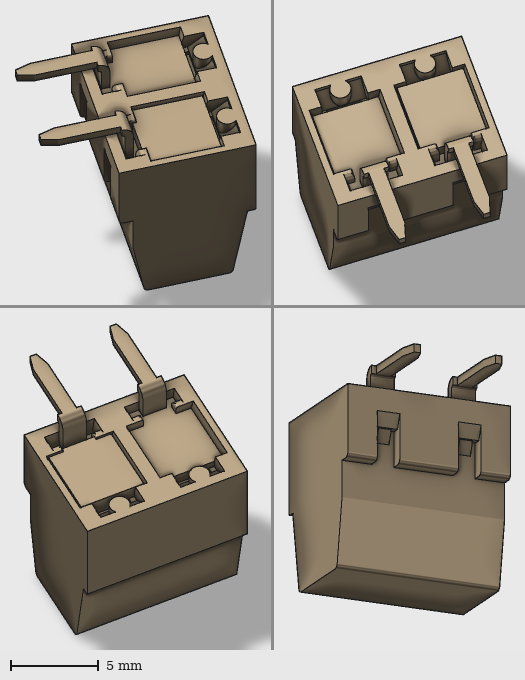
import cadquery as cq
import math


overall_height = 12.1
housing_width = 10.16
housing_depth = 8.1
housing_height = 10.58
station_count = 2
pitch = housing_width / station_count

front_step_z = 6.22
front_fold_z = 4.0
lower_front_y = -7.28
back_step_z = 5.02
back_step_depth = 0.51
flank_slope = math.tan(math.radians(10.0))
edge_radius = 0.3
back_step_radius = 0.15

draft_angle = 15.0
draft_run = math.tan(math.radians(draft_angle))
recess_depth = 0.53
recess_floor_z = housing_height - recess_depth
pocket_width = 4.26
pocket_back_y = -1.77
pocket_front_y = -6.09
pocket_floor_back_y = pocket_back_y - recess_depth * draft_run
pocket_floor_width = pocket_width - 2 * recess_depth * draft_run
slot_width = 3.16
slot_front_y = -7.42
slot_floor_width = slot_width - 2 * recess_depth * draft_run
slot_floor_front_y = slot_front_y + recess_depth * draft_run

neck_width = 2.07
tab_front_y = -6.69
tab_front_radius = 0.4
tab_side_radius = 0.15
tab_width = (slot_width - neck_width) / 2

raised_stations = (False, True)
floor_raise = 0.38
raised_front_y = -6.32
slot_extra_depth = 0.48

well_width = 2.77
well_back_y = -0.6
well_slope_end_y = -1.57
well_wall_height = 0.27
well_depth = 0.97
well_notch_width = neck_width
well_notch_depth = 0.24
post_diameter = 1.21
post_y = -1.0

window_width = 1.4
window_top_z = 9.2
ramp_step_z = 8.35
ramp_bottom_z = 7.53
ramp_tip_width = 0.8
ramp_slope = math.tan(math.radians(20.4))

pin_thickness = 0.5
pin_back_y = -6.74
pin_width = 1.5
pin_inner_radius = 0.19
pin_tip_y = -12.05
pin_bottom_z = recess_floor_z - slot_extra_depth
blade_width = 0.93
blade_taper_y = -11.1
blade_tip_width = 0.4


def block(x_mid, width, y_back, y_front, z_low, z_high):
    """Box centred on x_mid between two Y and two Z positions."""
    return (
        cq.Workplane("XY")
        .box(width, y_back - y_front, z_high - z_low, centered=(True, False, False))
        .translate((x_mid, y_front, z_low))
    )


def side_prism(points, x_mid, width):
    """Prism of width along X, centred on x_mid, from a closed (Y, Z) outline."""
    return (
        cq.Workplane("YZ", origin=(x_mid - width / 2, 0, 0))
        .polyline(points)
        .close()
        .extrude(width)
    )


def housing_shell():
    """Stepped, tapering outer shape of the housing."""
    bottom_front_y = lower_front_y + front_fold_z * flank_slope
    bottom_back_y = -back_step_depth - back_step_z * flank_slope
    outline = [
        (0, housing_height),
        (-housing_depth, housing_height),
        (-housing_depth, front_step_z),
        (lower_front_y, front_step_z),
        (lower_front_y, front_fold_z),
        (bottom_front_y, 0),
        (bottom_back_y, 0),
        (-back_step_depth, back_step_z),
        (0, back_step_z),
    ]
    shell = side_prism(outline, 0, housing_width)
    shell = shell.edges("|X and <Z").fillet(edge_radius)
    front_edge = cq.selectors.NearestToPointSelector((0, -housing_depth, front_step_z))
    back_edge = cq.selectors.NearestToPointSelector((0, 0, back_step_z))
    shell = shell.edges(front_edge).fillet(edge_radius)
    return shell.edges(back_edge).fillet(back_step_radius)


def drafted_recess(x_mid, width, upright_y, drafted_y):
    """Recess whose sides and drafted_y end lean inwards, and whose upright_y end is vertical."""
    length = abs(drafted_y - upright_y)
    both_halves = (
        cq.Workplane("XY", origin=(x_mid, upright_y, housing_height))
        .rect(width, 2 * length)
        .extrude(-recess_depth, taper=draft_angle)
    )
    y_back = max(upright_y, drafted_y)
    y_front = min(upright_y, drafted_y)
    kept_half = block(x_mid, width, y_back, y_front, recess_floor_z, housing_height)
    return both_halves.intersect(kept_half)


def tab(x_mid, side):
    """Tab beside the neck, rounded over along its front and its inner side."""
    tab_mid = x_mid + side * (neck_width + tab_width) / 2
    body = block(tab_mid, tab_width, pocket_front_y, tab_front_y, recess_floor_z, housing_height)
    front_rounded = body.edges(">Z and <Y").fillet(tab_front_radius)
    inner_edge = ">Z and <X" if side > 0 else ">Z and >X"
    side_rounded = body.edges(inner_edge).fillet(tab_side_radius)
    return front_rounded.intersect(side_rounded)


def raised_floor(x_mid):
    """Platform on the pocket floor that reaches into the neck."""
    top_z = recess_floor_z + floor_raise
    platform = block(
        x_mid, pocket_floor_width, pocket_floor_back_y, pocket_front_y, recess_floor_z, top_z
    )
    tongue = block(x_mid, neck_width, pocket_front_y, raised_front_y, recess_floor_z, top_z)
    return platform.union(tongue)


def slot_deepening(x_mid):
    """Upright-walled extension below the pin slot and the free part of the neck."""
    low_z = recess_floor_z - slot_extra_depth
    below_neck = block(x_mid, neck_width, raised_front_y, tab_front_y, low_z, recess_floor_z)
    below_slot = block(
        x_mid, slot_floor_width, tab_front_y, slot_floor_front_y, low_z, recess_floor_z
    )
    return below_neck.union(below_slot)


def pin_socket(x_mid):
    """Hole in the slot floor that holds the lower end of a pin."""
    pin_front_y = pin_back_y - pin_thickness
    return block(x_mid, pin_width, pin_back_y, pin_front_y, pin_bottom_z, recess_floor_z)


def well(x_mid):
    """Well with a sloping back wall and a notch in its floor."""
    floor_z = housing_height - well_depth
    outline = [
        (well_back_y, housing_height),
        (well_back_y, housing_height - well_wall_height),
        (well_slope_end_y, floor_z),
        (pocket_floor_back_y, floor_z),
        (pocket_floor_back_y, housing_height),
    ]
    notch = block(
        x_mid,
        well_notch_width,
        well_slope_end_y,
        pocket_floor_back_y,
        floor_z - well_notch_depth,
        floor_z,
    )
    return side_prism(outline, x_mid, well_width).union(notch)


def post(x_mid):
    """Round post standing in the well, level with the housing top."""
    return (
        cq.Workplane("XY", origin=(x_mid, post_y, housing_height))
        .circle(post_diameter / 2)
        .extrude(-well_depth)
    )


def window(x_mid):
    """Notch in the overhanging front wall, open at the front and below."""
    return block(x_mid, window_width, lower_front_y, -housing_depth, front_step_z, window_top_z)


def ramp(x_mid):
    """Filling of the window top, its front face sloping inwards on the way down."""
    bottom_y = -housing_depth + (window_top_z - ramp_step_z) * ramp_slope
    outline = [
        (lower_front_y, window_top_z),
        (-housing_depth, window_top_z),
        (bottom_y, ramp_step_z),
        (lower_front_y, ramp_step_z),
    ]
    return side_prism(outline, x_mid, window_width)


def ramp_tip(x_mid):
    """Narrow wedge below the ramp that runs out on the back of the window."""
    top_y = lower_front_y - (ramp_step_z - ramp_bottom_z) * ramp_slope
    outline = [
        (lower_front_y, ramp_step_z),
        (top_y, ramp_step_z),
        (lower_front_y, ramp_bottom_z),
    ]
    return side_prism(outline, x_mid, ramp_tip_width)


def make_housing(station_xs):
    """Housing with its top recesses, pin sockets and front windows at every station."""
    housing = housing_shell()
    for x_mid, is_raised in zip(station_xs, raised_stations):
        housing = housing.cut(drafted_recess(x_mid, pocket_width, pocket_front_y, pocket_back_y))
        housing = housing.cut(drafted_recess(x_mid, slot_width, pocket_front_y, slot_front_y))
        housing = housing.union(tab(x_mid, -1)).union(tab(x_mid, 1))
        housing = housing.cut(well(x_mid)).union(post(x_mid))
        if is_raised:
            housing = housing.union(raised_floor(x_mid)).cut(slot_deepening(x_mid))
        housing = housing.cut(pin_socket(x_mid))
        housing = housing.cut(window(x_mid))
        housing = housing.union(ramp(x_mid)).union(ramp_tip(x_mid))
    return housing.clean()


def make_pin(x_mid):
    """Flat pin that rises through the slot, bends forward and narrows to a tapered blade."""
    outer_radius = pin_inner_radius + pin_thickness
    bend_y = pin_back_y - outer_radius
    bend_z = overall_height - outer_radius
    pin_front_y = pin_back_y - pin_thickness
    blade_low_z = overall_height - pin_thickness
    diagonal = math.sqrt(0.5)
    stem = (
        cq.Workplane("YZ", origin=(x_mid - pin_width / 2, 0, 0))
        .moveTo(pin_back_y, pin_bottom_z)
        .lineTo(pin_back_y, bend_z)
        .threePointArc(
            (bend_y + outer_radius * diagonal, bend_z + outer_radius * diagonal),
            (bend_y, overall_height),
        )
        .lineTo(bend_y, blade_low_z)
        .threePointArc(
            (bend_y + pin_inner_radius * diagonal, bend_z + pin_inner_radius * diagonal),
            (pin_front_y, bend_z),
        )
        .lineTo(pin_front_y, pin_bottom_z)
        .close()
        .extrude(pin_width)
    )
    blade = (
        cq.Workplane("XY", origin=(x_mid, 0, blade_low_z))
        .polyline(
            [
                (-blade_width / 2, bend_y),
                (-blade_width / 2, blade_taper_y),
                (-blade_tip_width / 2, pin_tip_y),
                (blade_tip_width / 2, pin_tip_y),
                (blade_width / 2, blade_taper_y),
                (blade_width / 2, bend_y),
            ]
        )
        .close()
        .extrude(pin_thickness)
    )
    return stem.union(blade)


station_xs = [(i - (station_count - 1) / 2) * pitch for i in range(station_count)]
housing = make_housing(station_xs)
pins = [make_pin(x_mid) for x_mid in station_xs]

result = cq.Compound.makeCompound([housing.val(), *[pin.val() for pin in pins]])